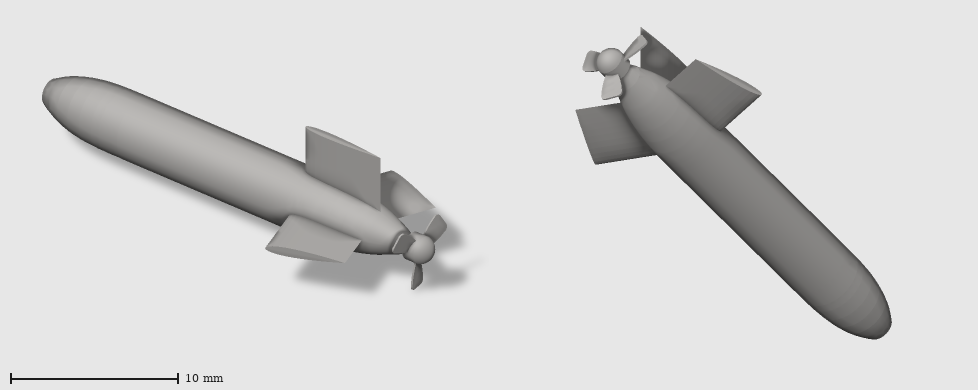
import cadquery as cq
import math

hull_diameter = 4.05
hull_radius = hull_diameter / 2
total_length = 29.8

nose_tip_radius = 0.85
nose_stations = [0.0, 1.8, 2.8, 3.8, 4.8, 5.42, 6.85]
nose_exponent = 3.4
tail_end_radius = 0.48
tail_stations = [20.05, 21.13, 22.1, 23.18, 24.17, 25.18, 27.25, 28.22]
tail_exponent = 2.6
nose_length = nose_stations[-1]
tail_start = tail_stations[0]
tail_end = tail_stations[-1]

airfoil_scale = 5
airfoil_root_term = 0.2969
airfoil_powers = [-0.126, -0.3516, 0.2843, -0.1036]

fin_thickness = 0.6
airfoil_intervals = 15
top_fin_chord = 5.87
top_fin_leading_x = 19.95
top_fin_height = 5.13
side_fin_chord = 5.1
side_fin_sweep = 20.0
side_fin_half_span = 5.9
side_fin_length = 4.47
left_fin_tip_x = 21.55
left_fin_tip_angle = 17.5
right_fin_tip_x = 21.75
right_fin_tip_angle = 19.8

hub_diameter = 1.75
hub_radius = hub_diameter / 2
dome_start = 29.1
blade_count = 3
blade_tip_radius = 2.6
blade_x = 28.73
blade_thickness = 0.12
blade_offset = 0.1
blade_pattern_y = 0.05
blade_pattern_z = -0.12
blade_corner_radius = 0.3
blade_sections = [(0.6, 0.6, 27.0), (1.65, 1.2, 14.0), (blade_tip_radius, 1.35, 11.0)]


def nose_radius(x):
    drop = (hull_radius - nose_tip_radius) * ((nose_length - x) / nose_length) ** nose_exponent
    return hull_radius - drop


def tail_radius(x):
    drop = (hull_radius - tail_end_radius) * ((x - tail_start) / (tail_end - tail_start)) ** tail_exponent
    return hull_radius - drop


def add_bands(outline, stations, radius_at):
    """Continue the outline with one arc for each band between neighbouring stations."""
    for start, end in zip(stations, stations[1:]):
        middle = (start + end) / 2
        outline = outline.threePointArc((middle, radius_at(middle)), (end, radius_at(end)))
    return outline


def make_hull_body():
    outline = cq.Workplane("XY").lineTo(0, nose_tip_radius)
    outline = add_bands(outline, nose_stations, nose_radius)
    outline = outline.lineTo(tail_start, hull_radius)
    outline = add_bands(outline, tail_stations, tail_radius)
    outline = outline.lineTo(tail_end, 0).close()
    return outline.revolve(360, (0, 0, 0), (1, 0, 0))


def airfoil_half_thickness(s):
    """Half thickness at the fraction s of the chord."""
    shape = airfoil_root_term * math.sqrt(s)
    for power, coefficient in enumerate(airfoil_powers, start=1):
        shape += coefficient * s**power
    return airfoil_scale * fin_thickness * shape


def make_fin(leading_point, chord_direction, side_direction, chord, span):
    """Extrude a faceted airfoil at the fin tip along the span vector into the hull."""
    fractions = [
        (1 - math.cos(math.pi * i / airfoil_intervals)) / 2 for i in range(airfoil_intervals + 1)
    ]
    upper = [(s * chord, airfoil_half_thickness(s)) for s in fractions[:-1]]
    upper.append((chord, 0))
    lower = [(u, -v) for u, v in reversed(upper[1:-1])]
    points = [leading_point + chord_direction * u + side_direction * v for u, v in upper + lower]
    wire = cq.Wire.makePolygon(points, close=True)
    return cq.Workplane(cq.Solid.extrudeLinear(wire, [], span))


def make_top_fin():
    return make_fin(
        cq.Vector(top_fin_leading_x, 0, top_fin_height),
        cq.Vector(1, 0, 0),
        cq.Vector(0, 1, 0),
        top_fin_chord,
        cq.Vector(0, 0, -top_fin_height),
    )


def make_side_fin(side, tip_x, tip_angle):
    """Make the fin on the +Y side (side = 1) or on the -Y side (side = -1)."""
    sweep = math.radians(side_fin_sweep)
    angle = math.radians(tip_angle)
    return make_fin(
        cq.Vector(tip_x, side * side_fin_half_span, 0),
        cq.Vector(math.cos(angle), -side * math.sin(angle), 0),
        cq.Vector(0, 0, 1),
        side_fin_chord,
        cq.Vector(-math.sin(sweep), -side * math.cos(sweep), 0) * side_fin_length,
    )


def make_hull():
    hull = make_hull_body().union(make_top_fin())
    hull = hull.union(make_side_fin(1, left_fin_tip_x, left_fin_tip_angle))
    return hull.union(make_side_fin(-1, right_fin_tip_x, right_fin_tip_angle))


def make_hub():
    dome_length = total_length - dome_start
    dome_radius = (dome_length**2 + hub_radius**2) / (2 * dome_length)
    half_angle = math.asin(hub_radius / dome_radius) / 2
    dome_center_x = total_length - dome_radius
    dome_middle = (
        dome_center_x + dome_radius * math.cos(half_angle),
        dome_radius * math.sin(half_angle),
    )
    return (
        cq.Workplane("XY")
        .moveTo(tail_end, 0)
        .lineTo(tail_end, hub_radius)
        .lineTo(dome_start, hub_radius)
        .threePointArc(dome_middle, (total_length, 0))
        .close()
        .revolve(360, (0, 0, 0), (1, 0, 0))
    )


def make_blade():
    """Loft a blade that points along -Z, with rounded tip corners."""
    wires = []
    for distance, width, pitch in blade_sections:
        section = (
            cq.Workplane("XY", origin=(blade_x, -blade_offset, -distance))
            .transformed(rotate=(0, 0, pitch))
            .rect(blade_thickness, width)
        )
        wires.append(section.wires().val())
    blade = cq.Workplane(cq.Solid.makeLoft(wires))
    tip_corners = blade.faces("<Z").edges(cq.selectors.LengthNthSelector(0))
    return tip_corners.fillet(blade_corner_radius)


def make_propeller():
    propeller = make_hub()
    blade = make_blade()
    pattern_start = (0, blade_pattern_y, blade_pattern_z)
    pattern_end = (total_length, blade_pattern_y, blade_pattern_z)
    for i in range(blade_count):
        propeller = propeller.union(blade.rotate(pattern_start, pattern_end, i * 360 / blade_count))
    return propeller


hull = make_hull()
propeller = make_propeller()
result = cq.Compound.makeCompound([hull.val(), propeller.val()])